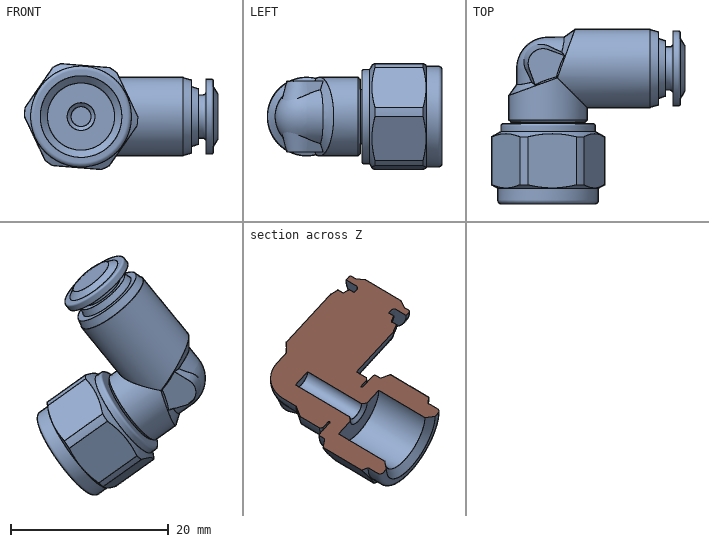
import cadquery as cq
import math


core_radius = 4.0
leg_radius = 5.0
shoulder_tilt = 20.0
shoulder_corner = 1.18
cone_shift = 1.98
cone_apex_height = 2.25
cone_top_scale = 0.4

boss_height = 4.5
boss_radius = 1.87
boss_offset = 0.65
boss_draft = 15.0
boss_side_length = 2.6
boss_corner = 1.5

nut_leg_end = 6.82
nut_leg_chamfer = 0.3
neck_radius = 3.45

nut_start = 7.0
nut_end = 17.2
rear_collar_radius = 6.0
rear_collar_length = 1.0
rear_collar_fillet = 0.3
front_collar_radius = 6.4
front_collar_length = 2.0
front_collar_fillet = 0.5
across_flats = 13.0
hex_corner_radius = 7.2
hex_turn = 4.65
hex_bevel_angle = 29.0

bore_radius = 4.26
bore_depth = 8.2
bore_chamfer = 0.92
passage_radius = 1.26
passage_chamfer = 0.5

tube_leg_end = 12.94
cap_base_radius = 4.95
cap_tip_radius = 4.65
cap_end = 14.02
sleeve_base_radius = 3.82
sleeve_tip_radius = 3.52
sleeve_end = 14.92
release_neck_radius = 2.76
release_neck_fillet = 0.4
flange_start = 15.85
flange_end = 16.78
flange_radius = 4.76
flange_fillet = 0.25
nose_base_radius = 3.82
nose_tip_radius = 2.84
tip_end = 17.4


def cylinder_along_y(radius, start, end):
    """Cylinder on the nut axis between two distances below the tube axis."""
    return cq.Workplane("XZ", origin=(0, -start, 0)).circle(radius).extrude(end - start)


def mirror_to_tube(body):
    """Reflect the nut leg across the plane y = -x, which gives the tube leg."""
    return body.mirror("XZ").rotate((0, 0, 0), (0, 0, 1), -90)


def make_shoulder_leg(length):
    """Leg along -Y, cut by the tilted plane and topped with a slanted cone."""
    tilt = math.radians(shoulder_tilt)
    centre_y = -shoulder_corner * (1 + math.tan(tilt))
    plane = cq.Plane(
        origin=(0, centre_y, 0),
        xDir=(math.cos(tilt), math.sin(tilt), 0),
        normal=(-math.sin(tilt), math.cos(tilt), 0),
    )
    half_length = leg_radius / math.cos(tilt)
    block_size = 4 * leg_radius
    beyond_plane = cq.Workplane(plane).rect(block_size, block_size).extrude(block_size)
    leg = cylinder_along_y(leg_radius, -leg_radius, length).cut(beyond_plane)

    rise = 1 - cone_top_scale
    cone = (
        cq.Workplane(plane)
        .ellipse(half_length, leg_radius)
        .workplane(offset=cone_apex_height * rise)
        .center(-cone_shift * rise, 0)
        .ellipse(half_length * cone_top_scale, leg_radius * cone_top_scale)
        .loft(ruled=True)
    )
    return leg.union(cone)


def make_core():
    """Round elbow core: a ball with a stub along each leg."""
    ball = cq.Workplane("XY").sphere(core_radius)
    stub = cylinder_along_y(core_radius, 0, leg_radius)
    return ball.union(stub).union(mirror_to_tube(stub))


def make_boss():
    """Drafted flat-topped boss on the +Z side of the elbow."""
    tilt = math.radians(shoulder_tilt)
    reach = boss_radius * math.cos(tilt)
    drop = boss_radius * math.sin(tilt)
    diagonal = boss_radius * math.sqrt(0.5)
    arc_start = (-boss_offset - reach, boss_offset - drop)
    arc_middle = (-boss_offset - diagonal, boss_offset + diagonal)
    arc_end = (-arc_start[1], -arc_start[0])
    side_start = (
        arc_start[0] + boss_side_length * math.sin(tilt),
        arc_start[1] - boss_side_length * math.cos(tilt),
    )
    side_end = (-side_start[1], -side_start[0])
    return (
        cq.Workplane("XY", origin=(0, 0, boss_height))
        .moveTo(*side_start)
        .lineTo(*arc_start)
        .threePointArc(arc_middle, arc_end)
        .lineTo(*side_end)
        .lineTo(boss_corner, -boss_corner)
        .close()
        .extrude(-boss_height, taper=-boss_draft)
    )


def make_nut():
    """Hexagon nut with rounded-off corners, bevelled ends and two collars."""
    hex_start = nut_start + rear_collar_length
    hex_end = nut_end - front_collar_length
    bevel_slope = math.tan(math.radians(hex_bevel_angle))
    rear_bevel = (hex_corner_radius - rear_collar_radius) * bevel_slope
    front_bevel = (hex_corner_radius - front_collar_radius) * bevel_slope
    envelope = (
        cq.Workplane("XY")
        .polyline([
            (0, -hex_start),
            (rear_collar_radius, -hex_start),
            (hex_corner_radius, -hex_start - rear_bevel),
            (hex_corner_radius, -hex_end + front_bevel),
            (front_collar_radius, -hex_end),
            (0, -hex_end),
        ])
        .close()
        .revolve(360, (0, 0, 0), (0, 1, 0))
    )
    across_corners = across_flats / math.cos(math.pi / 6)
    hexagon = (
        cq.Workplane("XZ", origin=(0, -hex_start, 0))
        .polygon(6, across_corners)
        .extrude(hex_end - hex_start)
        .rotate((0, 0, 0), (0, 1, 0), hex_turn)
    )
    rear_collar = cylinder_along_y(rear_collar_radius, nut_start, hex_start)
    rear_collar = rear_collar.faces(">Y").edges().fillet(rear_collar_fillet)
    front_collar = cylinder_along_y(front_collar_radius, hex_end, nut_end)
    front_collar = front_collar.faces("<Y").edges().fillet(front_collar_fillet)
    return hexagon.intersect(envelope).union(rear_collar).union(front_collar)


def make_bore():
    """Nut bore with a flared mouth and the chamfered passage behind it."""
    floor_y = bore_depth - nut_end
    return (
        cq.Workplane("XY")
        .polyline([
            (0, -nut_end),
            (bore_radius + bore_chamfer, -nut_end),
            (bore_radius, -nut_end + bore_chamfer),
            (bore_radius, floor_y),
            (passage_radius + passage_chamfer, floor_y),
            (passage_radius, floor_y + passage_chamfer),
            (passage_radius, 0),
            (0, 0),
        ])
        .close()
        .revolve(360, (0, 0, 0), (0, 1, 0))
    )


def make_tube_end():
    """Tapered cap, sleeve and flanged release ring at the end of the tube leg."""
    fillet_diagonal = release_neck_fillet * (1 - math.sqrt(0.5))
    flange_diagonal = flange_fillet * (1 - math.sqrt(0.5))
    return (
        cq.Workplane("XY")
        .moveTo(tube_leg_end, 0)
        .lineTo(tube_leg_end, cap_base_radius)
        .lineTo(cap_end, cap_tip_radius)
        .lineTo(cap_end, sleeve_base_radius)
        .lineTo(sleeve_end, sleeve_tip_radius)
        .lineTo(sleeve_end, release_neck_radius)
        .lineTo(flange_start - release_neck_fillet, release_neck_radius)
        .threePointArc(
            (flange_start - fillet_diagonal, release_neck_radius + fillet_diagonal),
            (flange_start, release_neck_radius + release_neck_fillet),
        )
        .lineTo(flange_start, flange_radius)
        .lineTo(flange_end - flange_fillet, flange_radius)
        .threePointArc(
            (flange_end - flange_diagonal, flange_radius - flange_diagonal),
            (flange_end, flange_radius - flange_fillet),
        )
        .lineTo(flange_end, nose_base_radius)
        .lineTo(tip_end, nose_tip_radius)
        .lineTo(tip_end, 0)
        .close()
        .revolve(360, (0, 0, 0), (1, 0, 0))
    )


nut_leg = make_shoulder_leg(nut_leg_end).faces("<Y").edges().chamfer(nut_leg_chamfer)
tube_leg = mirror_to_tube(make_shoulder_leg(tube_leg_end))
neck = cylinder_along_y(neck_radius, nut_leg_end, nut_start)
boss = make_boss()

result = make_core().union(nut_leg).union(tube_leg)
result = result.union(boss).union(boss.mirror("XY"))
result = result.union(neck).union(make_nut()).union(make_tube_end())
result = result.cut(make_bore())